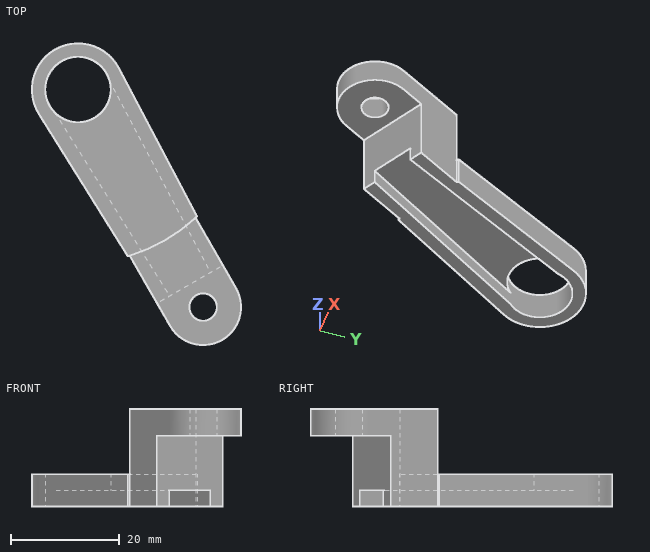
import cadquery as cq
import math

TIP_X = 23.0
TIP_Y = -40.0
SPAN = math.hypot(TIP_X, TIP_Y)
AXIS_ANGLE = math.degrees(math.atan2(TIP_Y, TIP_X))

HUB_RADIUS = 8.5
ARM_TIP_RADIUS = 6.8
BORE_RADIUS = 6.0
ARM_THICKNESS = 6.0

TIP_RADIUS = 7.0
TIP_HOLE_RADIUS = 2.5
TOTAL_HEIGHT = 18.0
TIP_THICKNESS = 5.0
STEP_RADIUS = 32.0
BLOCK_SETBACK = 4.9
BLOCK_END = SPAN - BLOCK_SETBACK

SLOT_WALL = 2.65
SLOT_HEIGHT = 3.0


def cylinder(radius, height, x=0.0):
    """Upright cylinder on the bottom face, at a distance x along the arm."""
    return cq.Workplane("XY").center(x, 0).circle(radius).extrude(height)


def tapered_bar(hub_radius, tip_radius, height):
    """Bar rounded at the hub, with sides tangent to the hub and tip circles."""
    tangent_sin = (hub_radius - tip_radius) / SPAN
    tangent_cos = math.sqrt(1 - tangent_sin**2)
    hub_x = hub_radius * tangent_sin
    hub_y = hub_radius * tangent_cos
    tip_x = SPAN + tip_radius * tangent_sin
    tip_y = tip_radius * tangent_cos
    outline = (
        cq.Workplane("XY")
        .moveTo(hub_x, hub_y)
        .threePointArc((-hub_radius, 0), (hub_x, -hub_y))
        .lineTo(tip_x, -tip_y)
        .lineTo(tip_x, tip_y)
        .close()
    )
    return outline.extrude(height)


def lower_arm():
    """Tapered arm ended by the step radius."""
    bar = tapered_bar(HUB_RADIUS, ARM_TIP_RADIUS, ARM_THICKNESS)
    return bar.intersect(cylinder(STEP_RADIUS, ARM_THICKNESS))


def raised_block():
    """Constant-width block with an overhanging round-ended plate on top."""
    outline = (
        cq.Workplane("XY")
        .moveTo(0, TIP_RADIUS)
        .lineTo(SPAN, TIP_RADIUS)
        .threePointArc((SPAN + TIP_RADIUS, 0), (SPAN, -TIP_RADIUS))
        .lineTo(0, -TIP_RADIUS)
        .close()
    )
    undercut = cq.Workplane("XY").box(
        SPAN,
        2 * TIP_RADIUS,
        TOTAL_HEIGHT - TIP_THICKNESS,
        centered=(False, True, False),
    )
    return (
        outline.extrude(TOTAL_HEIGHT)
        .cut(cylinder(STEP_RADIUS, TOTAL_HEIGHT))
        .cut(undercut.translate((BLOCK_END, 0, 0)))
    )


def underside_slot():
    """Slot with sides parallel to the arm sides, open at the bore and the front face."""
    return tapered_bar(HUB_RADIUS - SLOT_WALL, ARM_TIP_RADIUS - SLOT_WALL, SLOT_HEIGHT)


part = (
    lower_arm()
    .union(raised_block())
    .cut(underside_slot())
    .cut(cylinder(BORE_RADIUS, ARM_THICKNESS))
    .cut(cylinder(TIP_HOLE_RADIUS, TOTAL_HEIGHT, SPAN))
)
result = part.rotate((0, 0, 0), (0, 0, 1), AXIS_ANGLE)